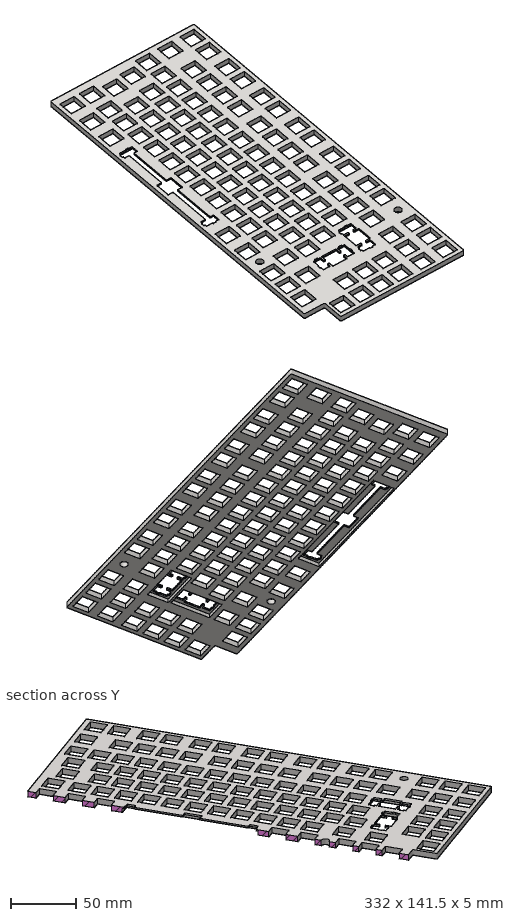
import cadquery as cq

LENGTH = 332
DEPTH = 141.5
THICKNESS = 5.0
NOTCH_LENGTH = 20.0
NOTCH_DEPTH = 20.0
CORNER_RADIUS = 1.0

TEN_KEY_RUN = 190.5
PITCH = TEN_KEY_RUN / 10
SWITCH = 14.0
FIRST_KEY_X = 11.5
TOP_MARGIN = 10.5
FIRST_KEY_Y = DEPTH - TOP_MARGIN
WIDE_ROW_STEP = 22.0
WIDE_STEP_COUNT = 2
SCREW_HOLE = 6.3

STEM_WIDTH = 6.5
STEM_TOP = 5.5
STEM_BOTTOM = -6.5
FOOT_WIDTH = 3.0
FOOT_DEPTH = 1.0
EAR_WIDTH = 0.5
EAR_TOP = 2.3
EAR_BOTTOM = -0.3
WIRE_SLOT = 4.5
SHORT_REACH = 12.0
SPACE_REACH = 50.0

WEB_THICKNESS = 1.5
POCKET_END_MARGIN = 5.3
POCKET_WIDTH = 18.5


def run(start, count):
    """Places of `count` neighbouring keys, in key units."""
    return [start + i for i in range(count)]


RIGHT_TWO = run(15.25, 2)
RIGHT_THREE = run(14.25, 3)
FUNCTION_PAIR_STEP = 2.25
FUNCTION_KEYS = [place for pair in range(6) for place in run(FUNCTION_PAIR_STEP * pair, 2)]
BACKSPACE = 13.5
ENTER = 13.875
SPACE = 6.375
RIGHT_MODIFIERS = [10.125, 11.375]
ARROW_KEYS = run(13, 3)
ROWS = [
    FUNCTION_KEYS + RIGHT_THREE,
    [0] + run(1.5, 4) + run(5.75, 4) + run(10, 4) + RIGHT_THREE,
    run(0, 13) + [BACKSPACE] + RIGHT_TWO,
    [0.25] + run(1.5, 12) + RIGHT_TWO,
    [0.375] + run(1.75, 12) + RIGHT_TWO,
    [0.125] + run(1.25, 11) + [12.625, 14, 16.25],
    [0.125, 1.375, 2.625, SPACE] + RIGHT_MODIFIERS + ARROW_KEYS,
]
FUNCTION_ROW, BACKSPACE_ROW, TAB_ROW, HOME_ROW, BOTTOM_ROW = 0, 2, 3, 4, 6


def key_x(place):
    return FIRST_KEY_X + place * PITCH


def row_y(row):
    wide_steps = min(row, WIDE_STEP_COUNT)
    return FIRST_KEY_Y - wide_steps * WIDE_ROW_STEP - (row - wide_steps) * PITCH


def cutter(x_min, x_max, y_min, y_max, height=THICKNESS):
    """Rectangular block rising from the plate underside, by default through the whole plate."""
    block = cq.Workplane("XY").box(x_max - x_min, y_max - y_min, height, centered=False)
    return block.translate((x_min, y_min, 0))


def plate():
    step_x = LENGTH - NOTCH_LENGTH
    return (
        cq.Workplane("XY")
        .polyline([
            (0, 0),
            (step_x, 0),
            (step_x, NOTCH_DEPTH),
            (LENGTH, NOTCH_DEPTH),
            (LENGTH, DEPTH),
            (0, DEPTH),
        ])
        .close()
        .extrude(THICKNESS)
        .edges("|Z")
        .fillet(CORNER_RADIUS)
    )


def stabilizer(reach):
    """Stem openings, tabs, wire slot and underside pocket of a stabilizer centred on its switch."""
    half_stem = STEM_WIDTH / 2
    half_foot = FOOT_WIDTH / 2
    stem = (
        cutter(reach - half_stem, reach + half_stem, STEM_BOTTOM, STEM_TOP)
        .union(cutter(reach - half_foot, reach + half_foot, STEM_BOTTOM - FOOT_DEPTH, STEM_BOTTOM))
        .union(cutter(reach + half_stem, reach + half_stem + EAR_WIDTH, EAR_BOTTOM, EAR_TOP))
    )
    slot = cutter(-reach, reach, -WIRE_SLOT / 2, WIRE_SLOT / 2)
    pocket_reach = reach + POCKET_END_MARGIN
    half_pocket = POCKET_WIDTH / 2
    pocket = cutter(-pocket_reach, pocket_reach, -half_pocket, half_pocket, THICKNESS - WEB_THICKNESS)
    return slot.union(stem).union(stem.mirror("YZ")).union(pocket)


enter_y = (row_y(TAB_ROW) + row_y(HOME_ROW)) / 2
switch_places = [(key_x(place), row_y(row)) for row, places in enumerate(ROWS) for place in places]
switch_places.append((key_x(ENTER), enter_y))

hole_places = [
    (key_x((FUNCTION_KEYS[-1] + RIGHT_THREE[0]) / 2), row_y(FUNCTION_ROW)),
    (key_x((RIGHT_MODIFIERS[-1] + ARROW_KEYS[0]) / 2), row_y(BOTTOM_ROW)),
]

result = (
    plate()
    .cut(cq.Workplane("XY").pushPoints(switch_places).rect(SWITCH, SWITCH).extrude(THICKNESS))
    .cut(cq.Workplane("XY").pushPoints(hole_places).circle(SCREW_HOLE / 2).extrude(THICKNESS))
    .cut(stabilizer(SHORT_REACH).translate((key_x(BACKSPACE), row_y(BACKSPACE_ROW), 0)))
    .cut(stabilizer(SPACE_REACH).translate((key_x(SPACE), row_y(BOTTOM_ROW), 0)))
    .cut(
        stabilizer(SHORT_REACH)
        .rotate((0, 0, 0), (0, 0, 1), -90)
        .translate((key_x(ENTER), enter_y, 0))
    )
)